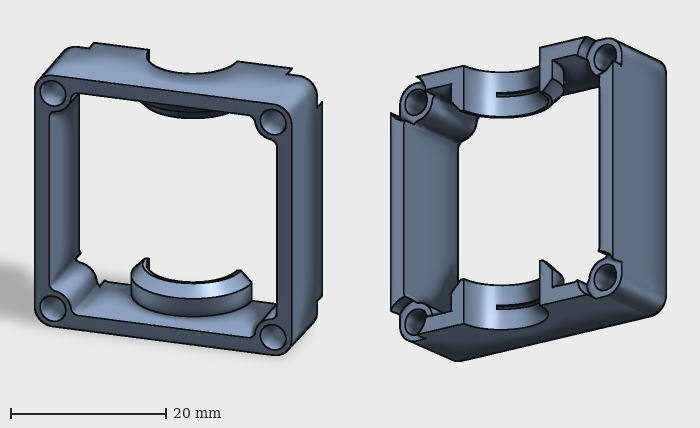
import cadquery as cq
import math

front_size = 35.0
depth = 12.0
draft_angle = 0.5
wall = 2.0
opening = front_size - 2 * wall

corner_radius = 2.5
screw_offset = front_size / 2 - corner_radius
screw_hole_diameter = 3.5
boss_radius = 2.5
boss_blend_radius = 1.0

relief_radius = 3.0
relief_depth = 2.0

bore_radius = 6.0
collar_radius = 8.0
collar_height = 4.0
collar_chamfer = 1.5

ridge_height = 0.28
ridge_sweep = 84.0
ridge_root = 0.5
ridge_z = front_size / 2 - (wall + collar_height) / 2

draft_growth = depth * math.tan(math.radians(draft_angle))
outer_half = front_size / 2 + draft_growth
screw_points = [
    (x_sign * screw_offset, z_sign * screw_offset)
    for x_sign in (-1, 1)
    for z_sign in (-1, 1)
]


def facing_back(y_position):
    """Sketch plane whose normal is +Y, with local x along X and local y along -Z."""
    return cq.Workplane(cq.Plane((0, y_position, 0), xDir=(1, 0, 0), normal=(0, 1, 0)))


def rounded_block():
    """Drafted outer block with its corner arcs centred on the screw holes."""
    outline = cq.Sketch().rect(front_size, front_size).vertices().fillet(corner_radius)
    return facing_back(0).placeSketch(outline).extrude(depth, taper=-draft_angle)


def opening_cutter():
    """Square opening leaving a drafted, blended boss standing in each corner."""
    square = facing_back(0).rect(opening, opening).extrude(depth)
    for point in screw_points:
        boss = facing_back(0).center(*point).circle(boss_radius).extrude(depth, taper=-draft_angle)
        square = square.cut(boss)
    between_ends = cq.selectors.BoxSelector(
        (-opening, depth / 4, -opening),
        (opening, 3 * depth / 4, opening),
    )
    return square.edges(between_ends).fillet(boss_blend_radius)


def collar(z_sign):
    """Half-round collar standing inward from the inner face of one wall."""
    root_plane = cq.Plane((0, depth, z_sign * opening / 2), xDir=(1, 0, 0), normal=(0, 0, -z_sign))
    ring = cq.Workplane(root_plane).workplane(offset=-wall / 2).circle(collar_radius)
    ring = ring.extrude(collar_height + wall / 2)
    rim = "<Z" if z_sign > 0 else ">Z"
    ring = ring.faces(rim).edges().chamfer(collar_chamfer)
    half_space = cq.Workplane().box(front_size, depth, front_size).translate((0, depth / 2, 0))
    return ring.intersect(half_space)


def grip_ridge(z_sign):
    """V-section ridge following part of one bore, 45-degree flanks rising from the bore surface."""
    crest = bore_radius - ridge_height
    root = bore_radius + ridge_root
    half_width = root - crest
    center_z = z_sign * ridge_z
    section = (
        cq.Workplane("XZ")
        .moveTo(crest, center_z)
        .lineTo(root, center_z + half_width)
        .lineTo(root, center_z - half_width)
        .close()
    )
    ridge = section.revolve(ridge_sweep, (0, 0, 0), (0, 1, 0))
    start_angle = -90 - ridge_sweep / 2
    return ridge.rotate((0, 0, 0), (0, 0, 1), start_angle).translate((0, depth, 0))


frame = rounded_block().cut(opening_cutter())
for side in (-1, 1):
    frame = frame.union(collar(side))

bore = cq.Workplane("XY", origin=(0, depth, 0)).circle(bore_radius).extrude(outer_half, both=True)
screw_holes = facing_back(0).pushPoints(screw_points).circle(screw_hole_diameter / 2).extrude(depth)
reliefs = facing_back(depth - relief_depth).pushPoints(screw_points).circle(relief_radius).extrude(relief_depth)

frame = frame.cut(bore).cut(screw_holes).cut(reliefs)
for side in (-1, 1):
    frame = frame.union(grip_ridge(side))

result = frame